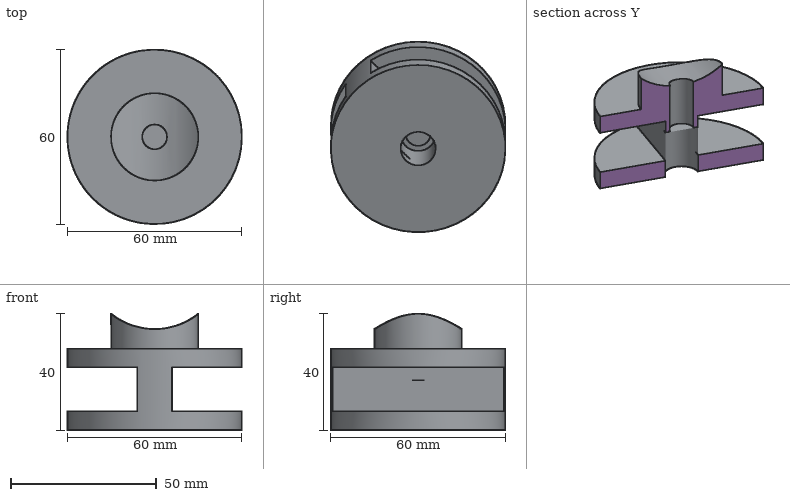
import cadquery as cq
import math

flange_diameter = 60.0
flange_thickness = 6.5
flange_gap = 15.0
web_thickness = 12.0

boss_diameter = 30.0
total_height = 40.0
saddle_radius = 24.0

bolt_hole_diameter = 8.5
head_pocket_diameter = web_thickness
head_pocket_depth = 17.2
membrane_thickness = 0.3

body_height = 2 * flange_thickness + flange_gap
boss_radius = boss_diameter / 2
saddle_axis_height = total_height + math.sqrt(saddle_radius**2 - boss_radius**2)


def vertical_cylinder(diameter, bottom, top):
    """Cylinder on the Z axis between two heights."""
    return cq.Workplane("XY").workplane(offset=bottom).circle(diameter / 2).extrude(top - bottom)


def spool_body():
    """Disc with a slot on each side, leaving the web along Y."""
    disc = vertical_cylinder(flange_diameter, 0, body_height)
    slot_depth = (flange_diameter - web_thickness) / 2
    slot_center = (web_thickness + slot_depth) / 2
    for side in (-1, 1):
        slot = (
            cq.Workplane("XY")
            .box(slot_depth, flange_diameter, flange_gap)
            .translate((side * slot_center, 0, body_height / 2))
        )
        disc = disc.cut(slot)
    return disc


def saddle_boss():
    """Boss on the upper flange, hollowed on top by a cylinder along Y."""
    boss = vertical_cylinder(boss_diameter, body_height, total_height)
    tube = (
        cq.Workplane("XZ")
        .center(0, saddle_axis_height)
        .circle(saddle_radius)
        .extrude(boss_radius, both=True)
    )
    return boss.cut(tube)


def bolt_hole():
    """Hole from the saddle down to the membrane above the head pocket."""
    return vertical_cylinder(bolt_hole_diameter, head_pocket_depth + membrane_thickness, total_height)


def head_pocket():
    """Blind round pocket in the underside."""
    return vertical_cylinder(head_pocket_diameter, 0, head_pocket_depth)


result = spool_body().union(saddle_boss()).cut(bolt_hole()).cut(head_pocket())